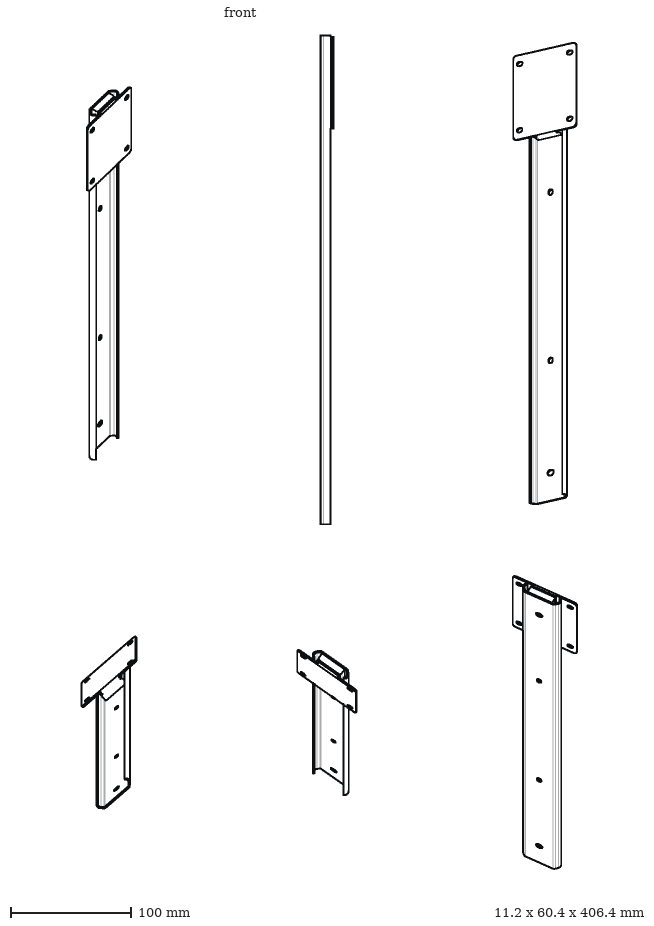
import cadquery as cq
import math

overall_depth = 11.2
rail_length = 406.4
sheet = 1.4

web_half_width = 12.8
shoulder_angle = 45.0
shoulder_bend_radius = 2.7
race_x = 5.3
race_outer_radius = 3.75
lip_end_angle = 25.0

end_hole_inset = 25.4
inner_hole_inset = 127.0
end_slot_length = 5.9
end_slot_width = 5.0
inner_slot_length = 5.0
inner_slot_width = 4.0

plate_width = 60.4
plate_height = 76.2
plate_thickness = 1.4
plate_corner_radius = 3.2
plate_drop = 1.3
plate_slot_length = 5.2
plate_slot_width = 3.9
plate_slot_pitch_y = 48.0
plate_slot_pitch_z = 60.0

block_width = 23.2
block_back_x = 7.5
block_corner_radius = 2.0
backing_thickness = 1.25
pad_width = 20.0

plate_x = overall_depth - plate_thickness
plate_top = rail_length - plate_drop
plate_bottom = plate_top - plate_height
plate_middle_z = plate_top - plate_height / 2
backing_back_x = block_back_x + backing_thickness
backing_top = (rail_length + plate_top) / 2

shoulder = math.radians(shoulder_angle)
bend_tangent = shoulder_bend_radius * math.tan(shoulder / 2)
web_corner_y = web_half_width + bend_tangent
race_y = web_corner_y + (race_x * math.cos(shoulder) - race_outer_radius) / math.sin(shoulder)


def polar(center_x, center_y, radius, degrees):
    angle = math.radians(degrees)
    return (center_x + radius * math.cos(angle), center_y + radius * math.sin(angle))


def make_half_rail():
    """Half of the rail section, from the centre plane to the +Y lip."""
    bend_x = shoulder_bend_radius
    bend_y = web_half_width
    bend_inner = shoulder_bend_radius - sheet
    race_inner = race_outer_radius - sheet
    race_start = 180 - shoulder_angle
    race_middle = (race_start + lip_end_angle) / 2
    bend_middle = (180 + race_start) / 2
    return (
        cq.Workplane("XY")
        .moveTo(0, 0)
        .lineTo(0, web_half_width)
        .threePointArc(polar(bend_x, bend_y, shoulder_bend_radius, bend_middle),
                       polar(bend_x, bend_y, shoulder_bend_radius, race_start))
        .lineTo(*polar(race_x, race_y, race_outer_radius, race_start))
        .threePointArc(polar(race_x, race_y, race_outer_radius, race_middle),
                       polar(race_x, race_y, race_outer_radius, lip_end_angle))
        .lineTo(*polar(race_x, race_y, race_inner, lip_end_angle))
        .threePointArc(polar(race_x, race_y, race_inner, race_middle),
                       polar(race_x, race_y, race_inner, race_start))
        .lineTo(*polar(bend_x, bend_y, bend_inner, race_start))
        .threePointArc(polar(bend_x, bend_y, bend_inner, bend_middle), (sheet, web_half_width))
        .lineTo(sheet, 0)
        .close()
        .extrude(rail_length)
    )


def slot_cutter(x, depth, points, length, width, angle=0):
    """Slots through a wall that starts at x; angle 0 lies along Y, 90 along Z."""
    return (
        cq.Workplane("YZ", origin=(x, 0, 0))
        .pushPoints(points)
        .slot2D(length, width, angle)
        .extrude(depth)
    )


def make_rail():
    half = make_half_rail()
    rail = half.union(half.mirror("XZ"))
    end_points = [(0, end_hole_inset), (0, rail_length - end_hole_inset)]
    inner_points = [(0, inner_hole_inset), (0, rail_length - inner_hole_inset)]
    rail = rail.cut(slot_cutter(0, sheet, end_points, end_slot_length, end_slot_width))
    return rail.cut(slot_cutter(0, sheet, inner_points, inner_slot_length, inner_slot_width, 90))


def carriage_layer(x_start, x_end, width, top):
    """Box centred on Y that rises from the plate bottom to the given top."""
    return cq.Workplane("XY", origin=(x_start, 0, plate_bottom)).box(
        x_end - x_start, width, top - plate_bottom, centered=(False, True, False))


def make_carriage():
    plate = carriage_layer(plate_x, overall_depth, plate_width, plate_top)
    plate = plate.edges("|X").fillet(plate_corner_radius)
    slot_points = [
        (side * plate_slot_pitch_y / 2, plate_middle_z + level * plate_slot_pitch_z / 2)
        for side in (-1, 1)
        for level in (-1, 1)
    ]
    plate = plate.cut(
        slot_cutter(plate_x, plate_thickness, slot_points, plate_slot_length, plate_slot_width))
    block = carriage_layer(sheet, block_back_x, block_width, rail_length)
    block = block.edges("|Z and >X").fillet(block_corner_radius)
    backing = carriage_layer(block_back_x, backing_back_x, block_width, backing_top)
    pad = carriage_layer(backing_back_x, plate_x, pad_width, plate_top)
    return plate.union(pad).union(backing).union(block)


rail = make_rail()
carriage = make_carriage()

result = cq.Compound.makeCompound([rail.val(), carriage.val()])